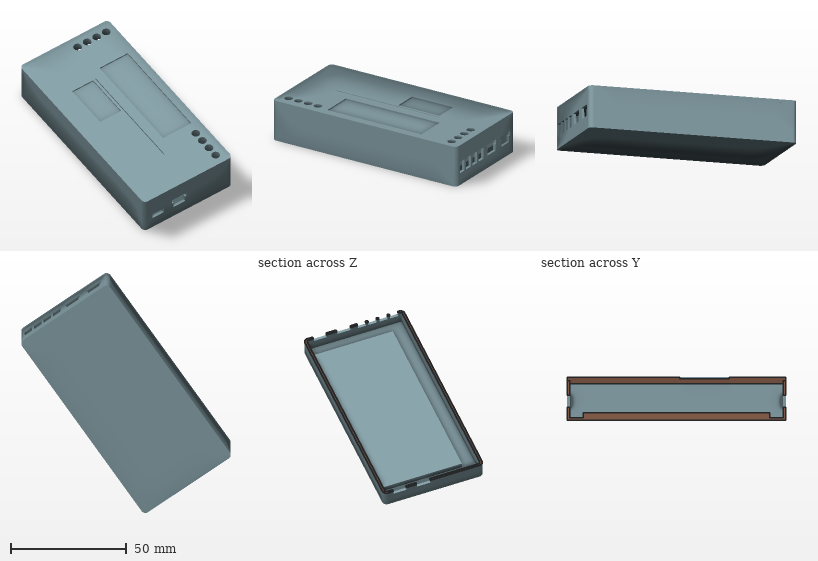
import cadquery as cq

LENGTH = 94.5
WIDTH = 46.4
HEIGHT = 18.7
CORNER_RADIUS = 2.0
WALL = 1.2
LID_THICKNESS = 1.5
PLUG_DEPTH = 1.5

BODY_HEIGHT = HEIGHT - LID_THICKNESS
INNER_LENGTH = LENGTH - 2 * WALL
INNER_WIDTH = WIDTH - 2 * WALL
INNER_RADIUS = CORNER_RADIUS - WALL

PIN_COUNT = 4
PIN_PITCH = 5.0
PIN_HOLE_DIAMETER = 3.8
SIDE_ROW_X = -42.0
SIDE_ROW_FIRST_Y = 18.6
BACK_ROW_FIRST_X = 27.3
BACK_ROW_Y = 17.8

OPENING_TOP = 10.9
SLOT_WIDTH = 3.8
SLOT_BOTTOM = 5.6

PORT_STEP = 8.8
PORT_BOTTOM = 5.9
INNER_PORT_Y = -4.7
INNER_PORT_UPPER_WIDTH = 7.5
INNER_PORT_LOWER_WIDTH = 6.2
OUTER_PORT_Y = -15.8
OUTER_PORT_UPPER_WIDTH = 7.7
OUTER_PORT_LOWER_WIDTH = 6.0
FAR_OPENING_TOP = 8.5

BED_TOP = 3.6
BED_END_GAP = 6.8
BED_BACK_GAP = 7.5

SUNK_DEPTH = 0.605
TITLE_PANEL = (-26.7, 21.5, 4.6, 19.4)
LOGO_PANEL = (-22.6, -1.5, -12.6, -1.6)
RULE_LINE = (-22.7, 29.5, -0.5, -0.1)


def box_between(x_range, y_range, z_range):
    """Axis-aligned box given by its limits along each axis."""
    (x0, x1), (y0, y1), (z0, z1) = x_range, y_range, z_range
    return cq.Workplane("XY").box(x1 - x0, y1 - y0, z1 - z0, centered=False).translate((x0, y0, z0))


def rounded_block(length, width, radius, z_bottom, z_top):
    """Block centred on the Z axis with rounded vertical edges."""
    block = cq.Workplane("XY").workplane(offset=z_bottom).rect(length, width).extrude(z_top - z_bottom)
    return block.edges("|Z").fillet(radius)


def near_wall_opening(y, width, z_bottom, z_top):
    """Cutter through the -X wall only."""
    x_range = (-LENGTH / 2, -LENGTH / 2 + WALL)
    return box_between(x_range, (y - width / 2, y + width / 2), (z_bottom, z_top))


def both_walls_opening(y, width, z_bottom, z_top):
    """Cutter through the -X wall and the +X wall."""
    return box_between((-LENGTH / 2, LENGTH / 2), (y - width / 2, y + width / 2), (z_bottom, z_top))


def make_housing():
    """Open-topped box with a raised bed and openings in its end walls."""
    housing = rounded_block(LENGTH, WIDTH, CORNER_RADIUS, 0, BODY_HEIGHT)
    housing = housing.cut(rounded_block(INNER_LENGTH, INNER_WIDTH, INNER_RADIUS, WALL, BODY_HEIGHT))

    bed_half_length = LENGTH / 2 - BED_END_GAP
    bed = box_between(
        (-bed_half_length, bed_half_length),
        (-INNER_WIDTH / 2, WIDTH / 2 - BED_BACK_GAP),
        (WALL, BED_TOP),
    )
    housing = housing.union(bed)

    for i in range(PIN_COUNT):
        slot_y = SIDE_ROW_FIRST_Y - i * PIN_PITCH
        housing = housing.cut(near_wall_opening(slot_y, SLOT_WIDTH, SLOT_BOTTOM, OPENING_TOP))

    housing = housing.cut(both_walls_opening(INNER_PORT_Y, INNER_PORT_UPPER_WIDTH, PORT_STEP, OPENING_TOP))
    housing = housing.cut(both_walls_opening(INNER_PORT_Y, INNER_PORT_LOWER_WIDTH, PORT_BOTTOM, PORT_STEP))

    housing = housing.cut(near_wall_opening(OUTER_PORT_Y, OUTER_PORT_UPPER_WIDTH, PORT_STEP, OPENING_TOP))
    housing = housing.cut(near_wall_opening(OUTER_PORT_Y, OUTER_PORT_LOWER_WIDTH, PORT_BOTTOM, PORT_STEP))
    return housing.cut(
        both_walls_opening(OUTER_PORT_Y, OUTER_PORT_LOWER_WIDTH, PORT_BOTTOM, FAR_OPENING_TOP)
    )


def pin_hole_centres():
    """Centres of the row along the -X end and of the row along the +Y side."""
    side_row = [(SIDE_ROW_X, SIDE_ROW_FIRST_Y - i * PIN_PITCH) for i in range(PIN_COUNT)]
    back_row = [(BACK_ROW_FIRST_X + i * PIN_PITCH, BACK_ROW_Y) for i in range(PIN_COUNT)]
    return side_row + back_row


def make_lid():
    """Cover plate with a plug that fits the housing, pin holes and sunk panels."""
    lid = rounded_block(LENGTH, WIDTH, CORNER_RADIUS, BODY_HEIGHT, HEIGHT)
    plug_bottom = BODY_HEIGHT - PLUG_DEPTH
    lid = lid.union(rounded_block(INNER_LENGTH, INNER_WIDTH, INNER_RADIUS, plug_bottom, BODY_HEIGHT))

    holes = cq.Workplane("XY").workplane(offset=plug_bottom).pushPoints(pin_hole_centres())
    lid = lid.cut(holes.circle(PIN_HOLE_DIAMETER / 2).extrude(HEIGHT - plug_bottom))

    for x_min, x_max, y_min, y_max in (TITLE_PANEL, LOGO_PANEL, RULE_LINE):
        lid = lid.cut(box_between((x_min, x_max), (y_min, y_max), (HEIGHT - SUNK_DEPTH, HEIGHT)))
    return lid


housing = make_housing()
lid = make_lid()

result = cq.Compound.makeCompound([housing.val(), lid.val()])